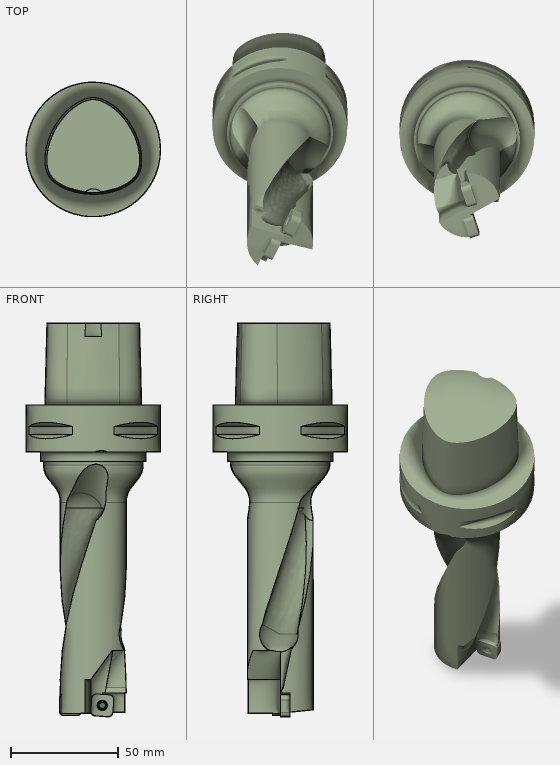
import cadquery as cq
import math


total_height = 184.0
flange_top = 145.7
flange_bottom = 123.8
collar_bottom = 119.5
neck_top = 117.8
neck_middle = 109.0
neck_bottom = 100.0
body_bottom = 1.7

flange_radius = 63.0 / 2
collar_radius = 49.5 / 2
neck_radius = 46.5 / 2
neck_middle_radius = 19.1
body_radius = 15.5

shank_base_radius = 22.6
shank_lobe_height = 1.62
shank_taper = 1 / 40
lobe_angles = (90, 210, 330)
flat_half_angle = 22
points_per_side = 9

notch_width = 7.7
notch_depth = 1.7
notch_height = 6.3

slot_angles = (45, 135, 225, 315)
slot_length = 28.7
slot_height = 133.8
slot_floor_width = 3.7
slot_flank_angle = 30

flute_radius = 9.0
flute_offset = 12.5
flute_rate = 1.228
central_flute_start = 38.6
peripheral_flute_start = 15.5
flute_end = 97.5
flute_end_angle = 249.5
flute_wall_offset = 8.3
exit_radius = 8.8
exit_direction = cq.Vector(0.44, -1.25, 1.0)
exit_length = 44.2

insert_size = 10.3
insert_thickness = 4.6
insert_corner_radius = 2.2
recess_diameter = 4.8
recess_floor_diameter = 4.0
recess_depth = 0.5
socket_diameter = 3.0
socket_depth = 1.7
central_insert_x = 4.2
insert_places = (
    (central_insert_x, 0, 0, 4.0, 0),
    (-10.7, 1.0, 0.5, 0, 180),
)

central_wall_x = -1.1
peripheral_wall_x = -4.8
wall_lean = 2.8
central_gash_corner = 17.5
peripheral_gash_corner = 21.7
gash_slope_width = 10.0
gash_slope_height = 13.5

insert_seat_top = 11.2
ledge_top = 13.8
ledge_depth = 1.5
floor_top = 33.1
floor_depth = 5.5
floor_side_bottom_x = 5.5
floor_side_top_x = 9.5
tip_relief_angle = 6.0


def turned_body():
    """Flange, collar, S-curved neck and cylindrical drill body."""
    profile = (
        cq.Workplane("XZ")
        .moveTo(0, flange_top)
        .lineTo(flange_radius, flange_top)
        .lineTo(flange_radius, flange_bottom)
        .lineTo(collar_radius, flange_bottom)
        .lineTo(collar_radius, collar_bottom)
        .lineTo(neck_radius, collar_bottom)
        .lineTo(neck_radius, neck_top)
        .spline(
            [(neck_middle_radius, neck_middle), (body_radius, neck_bottom)],
            tangents=[(0, -1), (0, -1)],
            includeCurrent=True,
        )
        .lineTo(body_radius, body_bottom)
        .lineTo(0, body_bottom)
        .close()
    )
    return profile.revolve(360, (0, 0, 0), (0, 1, 0))


def shank_point(mean_radius, angle):
    """Point of the constant-width outline whose normal has the given angle in degrees."""
    turn = math.radians(angle)
    phase = 3 * math.radians(angle - lobe_angles[0])
    support = mean_radius + shank_lobe_height * math.cos(phase)
    slope = -3 * shank_lobe_height * math.sin(phase)
    return (
        support * math.cos(turn) - slope * math.sin(turn),
        support * math.sin(turn) + slope * math.cos(turn),
    )


def shank_wire(mean_radius, height):
    """Closed outline of three lobes and three flatter sides."""
    edges = []
    lobe_half_angle = 60 - flat_half_angle
    for lobe in lobe_angles:
        lobe_end = lobe + lobe_half_angle
        flat_end = lobe_end + 2 * flat_half_angle
        for first, last in ((lobe - lobe_half_angle, lobe_end), (lobe_end, flat_end)):
            step = (last - first) / (points_per_side - 1)
            points = [shank_point(mean_radius, first + i * step) for i in range(points_per_side)]
            edges.append(cq.Edge.makeSpline([cq.Vector(x, y, height) for x, y in points]))
    return cq.Wire.assembleEdges(edges)


def shank():
    """Tapered shank with a round key notch at its top end."""
    length = total_height - flange_top
    top_radius = shank_base_radius - length * shank_taper
    base = shank_wire(shank_base_radius, flange_top)
    top = shank_wire(top_radius, total_height)
    body = cq.Workplane(cq.Solid.makeLoft([base, top], True))

    front_y = shank_lobe_height - top_radius
    notch_radius = ((notch_width / 2) ** 2 + notch_depth**2) / (2 * notch_depth)
    notch = (
        cq.Workplane("XY", origin=(0, front_y + notch_depth - notch_radius, total_height - notch_height))
        .circle(notch_radius)
        .extrude(notch_height)
    )
    return body.cut(notch)


def gripper_slots():
    """Trapezoidal slots cut straight across the flange rim."""
    floor_distance = math.sqrt(flange_radius**2 - (slot_length / 2) ** 2)
    depth = flange_radius - floor_distance
    half_floor = slot_floor_width / 2
    half_mouth = half_floor + depth * math.tan(math.radians(slot_flank_angle))
    slot = (
        cq.Workplane("XZ", origin=(0, 0, slot_height))
        .polyline(
            [
                (floor_distance, -half_floor),
                (flange_radius, -half_mouth),
                (flange_radius, half_mouth),
                (floor_distance, half_floor),
            ]
        )
        .close()
        .extrude(slot_length / 2, both=True)
    )
    return [slot.rotate((0, 0, 0), (0, 0, 1), angle) for angle in slot_angles]


def flute(start_height):
    """Helical groove with a round floor, one flat wall, a ball start and a slanted round exit."""
    length = flute_end - start_height
    turn = flute_rate * length
    wall_rise = math.sqrt(flute_radius**2 - flute_wall_offset**2)
    outside = body_radius + flute_radius
    groove = (
        cq.Workplane("XY")
        .moveTo(outside, flute_wall_offset)
        .lineTo(flute_offset - wall_rise, flute_wall_offset)
        .threePointArc((flute_offset - flute_radius, 0), (flute_offset, -flute_radius))
        .lineTo(outside, -flute_radius)
        .close()
        .twistExtrude(length, turn)
        .rotate((0, 0, 0), (0, 0, 1), flute_end_angle - turn)
        .translate((0, 0, start_height))
    )
    ball = cq.Workplane("XY").sphere(flute_radius)
    start = flute_centre(start_height)
    end = flute_centre(flute_end)
    channel = cq.Solid.makeCylinder(exit_radius, exit_length, end, exit_direction)
    exit_ball = cq.Workplane("XY").sphere(exit_radius)
    return [groove, ball.translate(start), exit_ball.translate(end), cq.Workplane(channel)]


def flute_centre(height):
    """Centre of the round flute floor at a height."""
    angle = math.radians(flute_end_angle - flute_rate * (flute_end - height))
    return cq.Vector(flute_offset * math.cos(angle), flute_offset * math.sin(angle), height)


def half_turn(shape):
    return shape.rotate((0, 0, 0), (0, 0, 1), 180)


def gash(wall_x, corner_height):
    """Open space on the -Y side of an insert, beside a wall that leans away from it."""
    reach = 2 * body_radius
    gash_top = corner_height + gash_slope_height
    wall_end_x = wall_x - wall_lean * reach / body_radius
    space = (
        cq.Workplane("XY")
        .polyline([(wall_x, 0), (wall_end_x, -reach), (reach, -reach), (reach, 0)])
        .close()
        .extrude(gash_top)
    )
    outline = (
        cq.Workplane("XZ")
        .polyline(
            [
                (-reach, 0),
                (-reach, corner_height),
                (wall_x, corner_height),
                (wall_x + gash_slope_width, gash_top),
                (reach, gash_top),
                (reach, 0),
            ]
        )
        .close()
        .extrude(reach)
    )
    return space.intersect(outline)


def central_seat():
    """Clearance beside the central insert, as deep as the insert is thick."""
    clearance = cq.Workplane("XY").box(body_radius, insert_thickness, insert_seat_top, centered=False)
    return clearance.translate((central_insert_x, 0, 0))


def rising_floor():
    """Clearance above the central insert: a short steep ledge, then a long gently sloped floor."""
    reach = 2 * body_radius
    slopes = (
        cq.Workplane("YZ")
        .polyline(
            [
                (0, insert_seat_top),
                (ledge_depth, ledge_top),
                (floor_depth, floor_top),
                (0, floor_top),
            ]
        )
        .close()
        .extrude(reach)
    )
    slanted_side = (
        cq.Workplane("XZ")
        .polyline(
            [
                (floor_side_bottom_x, insert_seat_top),
                (floor_side_top_x, floor_top),
                (reach, floor_top),
                (reach, insert_seat_top),
            ]
        )
        .close()
        .extrude(-reach)
    )
    return slopes.intersect(slanted_side)


def tip_relief():
    """Wedge under the half of the tip that carries the central insert."""
    reach = 2 * body_radius
    rise = reach * math.tan(math.radians(tip_relief_angle))
    return (
        cq.Workplane("YZ", origin=(-reach, 0, body_bottom))
        .polyline([(0, 0), (reach, rise), (reach, 0)])
        .close()
        .extrude(2 * reach)
    )


def insert_half_height(tilt):
    """Distance from the plate centre to the lowest point of the tilted plate."""
    turn = math.radians(tilt)
    core = insert_size / 2 - insert_corner_radius
    return core * (math.cos(turn) + math.sin(turn)) + insert_corner_radius


def place_insert(shape, place):
    """Move a shape from the plate centre at the origin to the insert's place."""
    x, y, lowest, tilt, turn = place
    tilted = shape.rotate((0, 0, 0), (0, 1, 0), tilt).rotate((0, 0, 0), (0, 0, 1), turn)
    return tilted.translate((x, y, lowest + insert_half_height(tilt)))


def insert_plate():
    """Rounded square plate with its cutting face on y = 0."""
    return (
        cq.Workplane("XZ")
        .rect(insert_size, insert_size)
        .extrude(-insert_thickness)
        .edges("|Y")
        .fillet(insert_corner_radius)
    )


def make_insert(place):
    """Insert plate with a conical screw recess and a socket in its cutting face."""
    origin = cq.Vector(0, 0, 0)
    inward = cq.Vector(0, 1, 0)
    cone = cq.Solid.makeCone(recess_diameter / 2, recess_floor_diameter / 2, recess_depth, origin, inward)
    socket = cq.Solid.makeCylinder(socket_diameter / 2, recess_depth + socket_depth, origin, inward)
    insert = insert_plate().cut(cq.Workplane(cone)).cut(cq.Workplane(socket))
    return place_insert(insert, place)


def make_holder():
    """Turned body and shank, with the slots, flutes, gashes and insert pockets cut out."""
    holder = turned_body().union(shank())
    cutters = gripper_slots()
    cutters += flute(peripheral_flute_start)
    cutters += [half_turn(piece) for piece in flute(central_flute_start)]
    cutters += [
        gash(central_wall_x, central_gash_corner),
        half_turn(gash(-peripheral_wall_x, peripheral_gash_corner)),
        rising_floor(),
        central_seat(),
        tip_relief(),
    ]
    cutters += [place_insert(insert_plate(), place) for place in insert_places]
    for cutter in cutters:
        holder = holder.cut(cutter)
    return holder.solids()


holder = make_holder()
inserts = [make_insert(place) for place in insert_places]

result = cq.Compound.makeCompound([holder.val(), *[insert.val() for insert in inserts]])